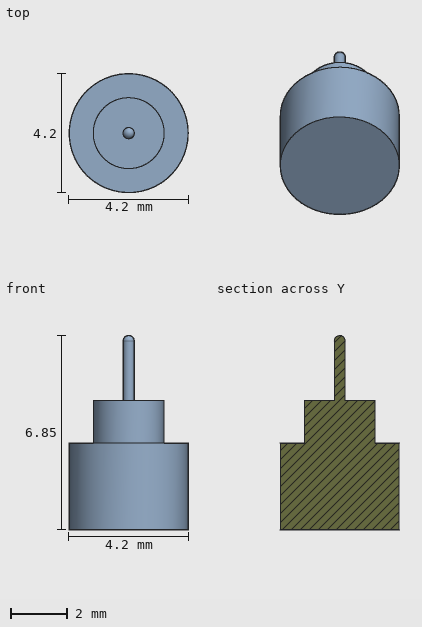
import cadquery as cq

total_height = 6.85
base_diameter = 4.2
base_height = 3.055
collar_diameter = 2.5
collar_height = 1.51
pin_diameter = 0.4

pin_radius = pin_diameter / 2
pin_shank_height = total_height - base_height - collar_height - pin_radius


def add_cylinder(body, diameter, height):
    """Stack a coaxial cylinder on the top face of the body."""
    return body.faces(">Z").workplane().circle(diameter / 2).extrude(height)


body = cq.Workplane("XY").circle(base_diameter / 2).extrude(base_height)
body = add_cylinder(body, collar_diameter, collar_height)

body = add_cylinder(body, pin_diameter, pin_shank_height)
tip = cq.Workplane("XY").sphere(pin_radius).translate((0, 0, total_height - pin_radius))
result = body.union(tip)